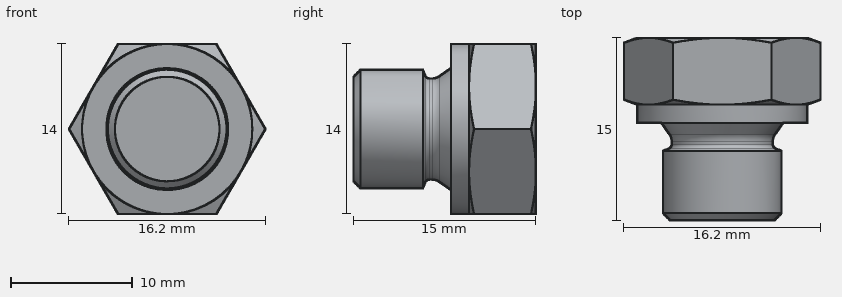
import cadquery as cq
import math


across_corners = 16.17
across_flats = across_corners * math.cos(math.radians(30))
head_length = 5.5
corner_chamfer_depth = 0.4

collar_radius = across_flats / 2
collar_length = 1.5

shank_length = 8.0
shank_radius = 4.88
tip_chamfer = 0.58

undercut_length = 2.3
undercut_bottom_radius = 4.17
undercut_bottom_end = 1.76
cone_start_radius = 5.01
cone_angle = math.radians(35)
cone_fillet = 1.0
shoulder_angle = math.radians(60)
shoulder_fillet = 0.37

total_length = head_length + collar_length + shank_length


def make_head():
    """Hexagon with corners on X, both ends bevelled down to the inscribed circle."""
    hexagon = cq.Workplane("XZ").polygon(6, across_corners).extrude(head_length)
    corner_radius = across_corners / 2
    bevel_envelope = (
        cq.Workplane("XY")
        .lineTo(across_flats / 2, 0)
        .lineTo(corner_radius, -corner_chamfer_depth)
        .lineTo(corner_radius, corner_chamfer_depth - head_length)
        .lineTo(across_flats / 2, -head_length)
        .lineTo(0, -head_length)
        .close()
        .revolve(360, (0, 0, 0), (0, 1, 0))
    )
    return hexagon.intersect(bevel_envelope)


def make_collar_and_shank():
    """Revolved collar, undercut and shank with a chamfered tip."""
    collar_face = -head_length - collar_length

    def fillet_point(radius, center, angle):
        """Point on an undercut fillet, at a signed angle from its lowest point."""
        return (
            undercut_bottom_radius + radius * (1 - math.cos(angle)),
            center - radius * math.sin(angle),
        )

    cone_end_radius = undercut_bottom_radius + cone_fillet * (1 - math.cos(cone_angle))
    cone_length = (cone_start_radius - cone_end_radius) / math.tan(cone_angle)
    cone_fillet_center = collar_face - cone_length - cone_fillet * math.sin(cone_angle)
    shoulder_fillet_center = collar_face - undercut_bottom_end

    return (
        cq.Workplane("XY")
        .moveTo(0, -head_length)
        .lineTo(collar_radius, -head_length)
        .lineTo(collar_radius, collar_face)
        .lineTo(cone_start_radius, collar_face)
        .lineTo(*fillet_point(cone_fillet, cone_fillet_center, -cone_angle))
        .threePointArc(
            fillet_point(cone_fillet, cone_fillet_center, -cone_angle / 2),
            (undercut_bottom_radius, cone_fillet_center),
        )
        .lineTo(undercut_bottom_radius, shoulder_fillet_center)
        .threePointArc(
            fillet_point(shoulder_fillet, shoulder_fillet_center, shoulder_angle / 2),
            fillet_point(shoulder_fillet, shoulder_fillet_center, shoulder_angle),
        )
        .lineTo(shank_radius, collar_face - undercut_length)
        .lineTo(shank_radius, tip_chamfer - total_length)
        .lineTo(shank_radius - tip_chamfer, -total_length)
        .lineTo(0, -total_length)
        .close()
        .revolve(360, (0, 0, 0), (0, 1, 0))
    )


result = make_head().union(make_collar_and_shank())